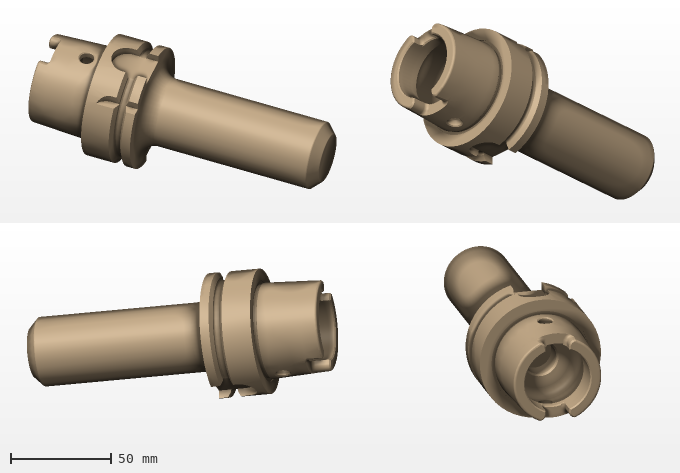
import cadquery as cq
import math


NOSE_FRONT_RADIUS = 22.8
NOSE_REAR_RADIUS = 24.2
NOSE_TAPER_END = 29.8
NOSE_END = 30.9
NOSE_EDGE_ROUND = 1.2
NOSE_REAR_CHAMFER = 0.5

NECK_RADIUS = 23.5
RECESS_RADIUS = 25.4
RECESS_DEPTH = 0.6

FLANGE_START = 31.9
FLANGE_END = 58.0
FLANGE_RADIUS = 31.5
GROOVE_CENTRE = 50.0
GROOVE_FLOOR_RADIUS = 27.4
GROOVE_HALF_WIDTH = 3.3
GROOVE_SIDE_ANGLE = 60
TROUGH_HALF_WIDTH = 1.8
TROUGH_CORNER = 0.9

SHANK_RADIUS = 17.5
SHANK_FILLET = 8.0
TIP_CHAMFER = 5.0
TIP_EDGE_ROUND = 0.8
LENGTH = 152.0

MOUTH_RADIUS = 17.0
MOUTH_CHAMFER = 0.6
MOUTH_END = 12.9
CAVITY_RADIUS = 20.4
CAVITY_END = 31.9
CAVITY_CORNER = 4.5
CORE_HOLE_RADIUS = 8.5
CORE_HOLE_CHAMFER = 0.9
CORE_HOLE_DEPTH = 10.0

DRIVE_HALF_WIDTH = 6.1
DRIVE_SHOULDER_HEIGHT = 20.8
DRIVE_SHOULDER_ROUND = 3.0
DRIVE_FLOOR_FILLET = 1.8
DRIVE_FRONT_CHAMFER = 0.8
UPPER_DRIVE_DEPTH = 6.1
LOWER_DRIVE_DEPTH = 9.5

CROSS_HOLE_X = 23.0
CROSS_HOLE_RADIUS = 3.6
CROSS_HOLE_CHAMFER = 0.6

KEYWAY_HALF_WIDTH = 8.0
KEYWAY_CENTRE_X = 44.7
KEYWAY_FLOOR = 26.3
NOTCH_CENTRE_X = 44.1
NOTCH_WALL_Y = -20.4
NOTCH_FLOOR = 19.9


def turn(profile):
    """Revolve a closed (x, radius) profile about the X axis."""
    return profile.close().revolve(360, (0, 0, 0), (1, 0, 0))


def turned_body():
    profile = (
        cq.Workplane("XY")
        .moveTo(0, 0)
        .lineTo(0, NOSE_FRONT_RADIUS)
        .lineTo(NOSE_TAPER_END, NOSE_REAR_RADIUS)
        .lineTo(NOSE_END - NOSE_REAR_CHAMFER, NOSE_REAR_RADIUS)
        .lineTo(NOSE_END, NOSE_REAR_RADIUS - NOSE_REAR_CHAMFER)
        .lineTo(NOSE_END, NECK_RADIUS)
        .lineTo(FLANGE_START + RECESS_DEPTH, NECK_RADIUS)
        .lineTo(FLANGE_START + RECESS_DEPTH, RECESS_RADIUS)
        .lineTo(FLANGE_START, RECESS_RADIUS)
        .lineTo(FLANGE_START, FLANGE_RADIUS)
        .lineTo(FLANGE_END, FLANGE_RADIUS)
        .lineTo(FLANGE_END, SHANK_RADIUS + SHANK_FILLET)
        .radiusArc((FLANGE_END + SHANK_FILLET, SHANK_RADIUS), -SHANK_FILLET)
        .lineTo(LENGTH, SHANK_RADIUS)
        .lineTo(LENGTH, 0)
    )
    body = turn(profile).faces("<X").edges().fillet(NOSE_EDGE_ROUND)
    body = body.faces(">X").edges().chamfer(TIP_CHAMFER)
    chamfer_middle = LENGTH - TIP_CHAMFER / 2
    tip_edges = cq.selectors.BoxSelector(
        (chamfer_middle - TIP_CHAMFER, -1.5, -1.5),
        (chamfer_middle + TIP_CHAMFER, 1.5, 1.5),
    )
    return body.edges("%CIRCLE").edges(tip_edges).fillet(TIP_EDGE_ROUND)


def flange_groove():
    """V groove with a narrow round-cornered trough along its bottom."""
    side_run = GROOVE_HALF_WIDTH - TROUGH_HALF_WIDTH
    trough_top = FLANGE_RADIUS - side_run * math.tan(math.radians(GROOVE_SIDE_ANGLE))
    corner_top = GROOVE_FLOOR_RADIUS + TROUGH_CORNER
    floor_half_width = TROUGH_HALF_WIDTH - TROUGH_CORNER
    profile = (
        cq.Workplane("XY")
        .moveTo(GROOVE_CENTRE - GROOVE_HALF_WIDTH, FLANGE_RADIUS)
        .lineTo(GROOVE_CENTRE - TROUGH_HALF_WIDTH, trough_top)
        .lineTo(GROOVE_CENTRE - TROUGH_HALF_WIDTH, corner_top)
        .radiusArc((GROOVE_CENTRE - floor_half_width, GROOVE_FLOOR_RADIUS), -TROUGH_CORNER)
        .lineTo(GROOVE_CENTRE + floor_half_width, GROOVE_FLOOR_RADIUS)
        .radiusArc((GROOVE_CENTRE + TROUGH_HALF_WIDTH, corner_top), -TROUGH_CORNER)
        .lineTo(GROOVE_CENTRE + TROUGH_HALF_WIDTH, trough_top)
        .lineTo(GROOVE_CENTRE + GROOVE_HALF_WIDTH, FLANGE_RADIUS)
    )
    return turn(profile)


def nose_bore():
    chamfer_end = CAVITY_END + CORE_HOLE_CHAMFER
    hole_end = CAVITY_END + CORE_HOLE_DEPTH
    profile = (
        cq.Workplane("XY")
        .moveTo(0, 0)
        .lineTo(0, MOUTH_RADIUS + MOUTH_CHAMFER)
        .lineTo(MOUTH_CHAMFER, MOUTH_RADIUS)
        .lineTo(MOUTH_END, MOUTH_RADIUS)
        .lineTo(MOUTH_END, CAVITY_RADIUS)
        .lineTo(CAVITY_END - CAVITY_CORNER, CAVITY_RADIUS)
        .radiusArc((CAVITY_END, CAVITY_RADIUS - CAVITY_CORNER), CAVITY_CORNER)
        .lineTo(CAVITY_END, CORE_HOLE_RADIUS + CORE_HOLE_CHAMFER)
        .lineTo(chamfer_end, CORE_HOLE_RADIUS)
        .lineTo(hole_end, CORE_HOLE_RADIUS)
        .lineTo(hole_end, 0)
    )
    return turn(profile)


def drive_outline():
    """Slot section on the +Z side whose walls round over into flat shoulders."""
    top = NOSE_REAR_RADIUS + DRIVE_FLOOR_FILLET
    half_top = NOSE_REAR_RADIUS
    round_end = DRIVE_HALF_WIDTH + DRIVE_SHOULDER_ROUND
    round_start = DRIVE_SHOULDER_HEIGHT - DRIVE_SHOULDER_ROUND
    return (
        cq.Workplane("YZ")
        .moveTo(-DRIVE_HALF_WIDTH, 0)
        .lineTo(DRIVE_HALF_WIDTH, 0)
        .lineTo(DRIVE_HALF_WIDTH, round_start)
        .radiusArc((round_end, DRIVE_SHOULDER_HEIGHT), DRIVE_SHOULDER_ROUND)
        .lineTo(half_top, DRIVE_SHOULDER_HEIGHT)
        .lineTo(half_top, top)
        .lineTo(-half_top, top)
        .lineTo(-half_top, DRIVE_SHOULDER_HEIGHT)
        .lineTo(-round_end, DRIVE_SHOULDER_HEIGHT)
        .radiusArc((-DRIVE_HALF_WIDTH, round_start), DRIVE_SHOULDER_ROUND)
        .close()
    )


def drive_slot(depth):
    slot = drive_outline().extrude(depth)
    slot = slot.faces(">X").edges("not(<Z or >Z or <Y or >Y)").fillet(DRIVE_FLOOR_FILLET)

    chamfer_end = depth + MOUTH_CHAMFER
    cone = turn(
        cq.Workplane("XY")
        .moveTo(depth, 0)
        .lineTo(depth, MOUTH_RADIUS + MOUTH_CHAMFER)
        .lineTo(chamfer_end, MOUTH_RADIUS)
        .lineTo(chamfer_end, 0)
    )
    mouth = drive_outline().extrude(chamfer_end).intersect(cone)

    flare = drive_outline().offset2D(DRIVE_FRONT_CHAMFER, "intersection")
    flare = flare.extrude(DRIVE_FRONT_CHAMFER, taper=45)
    return slot.union(mouth).union(flare)


def cross_hole():
    return (
        cq.Workplane("XY")
        .center(CROSS_HOLE_X, 0)
        .circle(CROSS_HOLE_RADIUS)
        .extrude(FLANGE_RADIUS, both=True)
    )


def keyway_outline(centre_x, centre_y):
    """Outline with a round front end, open towards the shank."""
    return (
        cq.Workplane("XY")
        .moveTo(FLANGE_END, centre_y - KEYWAY_HALF_WIDTH)
        .lineTo(centre_x, centre_y - KEYWAY_HALF_WIDTH)
        .threePointArc(
            (centre_x - KEYWAY_HALF_WIDTH, centre_y),
            (centre_x, centre_y + KEYWAY_HALF_WIDTH),
        )
        .lineTo(FLANGE_END, centre_y + KEYWAY_HALF_WIDTH)
        .close()
    )


def keyway():
    cutter = keyway_outline(KEYWAY_CENTRE_X, 0).extrude(FLANGE_RADIUS - KEYWAY_FLOOR)
    return cutter.translate((0, 0, KEYWAY_FLOOR))


def corner_notch():
    centre_y = NOTCH_WALL_Y - KEYWAY_HALF_WIDTH
    cutter = keyway_outline(NOTCH_CENTRE_X, centre_y).extrude(FLANGE_RADIUS - NOTCH_FLOOR)
    return cutter.translate((0, 0, NOTCH_FLOOR))


def upside_down(shape):
    return shape.rotate((0, 0, 0), (1, 0, 0), 180)


body = turned_body().cut(flange_groove())

body = body.cut(nose_bore())
body = body.cut(drive_slot(UPPER_DRIVE_DEPTH))
body = body.cut(upside_down(drive_slot(LOWER_DRIVE_DEPTH)))

body = body.cut(cross_hole())
for side in (1, -1):
    rim = cq.selectors.BoxSelector(
        (CROSS_HOLE_X - 1.5, -1.5, side * NECK_RADIUS - 1.5),
        (CROSS_HOLE_X + 1.5, 1.5, side * NECK_RADIUS + 1.5),
    )
    body = body.edges(rim).chamfer(CROSS_HOLE_CHAMFER)
body = body.cut(keyway()).cut(upside_down(keyway()))
body = body.cut(corner_notch())

result = body